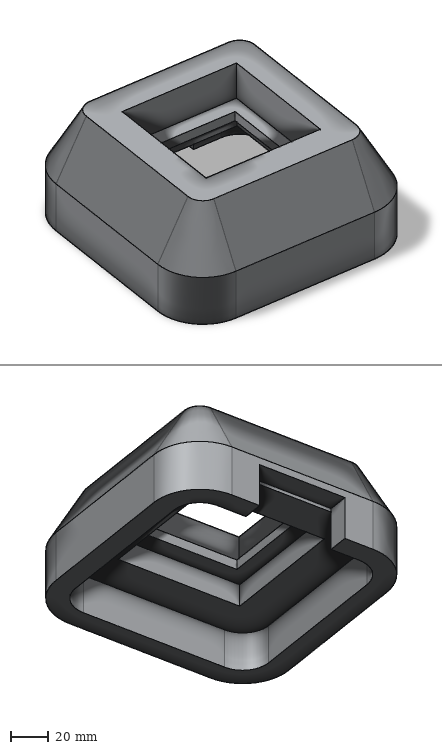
import cadquery as cq
import math

side = 152.4
height = 67.2
base_height = 31.0
corner_radius = 30.0
top_inset = 20.1

wall = 13.0
cavity_height = 24.1

pocket_side = 76.2
pocket_depth = 23.2
window_x = 57.0
window_y = 60.2
ledge_thickness = 6.1
lower_recess_side = 79.5

slot_width = 55.8
slot_height = 26.4


def rounded_square(width, radius, z):
    """Rounded square outline centred on the Z axis at height z."""
    sketch = cq.Sketch().rect(width, width).vertices().fillet(radius)
    return cq.Workplane("XY").workplane(offset=z).placeSketch(sketch)


def block(x_size, y_size, bottom, top):
    """Rectangular block centred on the Z axis, from height bottom to top."""
    return cq.Workplane("XY").workplane(offset=bottom).rect(x_size, y_size).extrude(top - bottom)


def outer_body():
    taper_height = height - base_height
    taper_angle = math.degrees(math.atan2(top_inset, taper_height))
    base = rounded_square(side, corner_radius, 0).extrude(base_height)
    upper = rounded_square(side, corner_radius, base_height).extrude(taper_height, taper=taper_angle)
    return base.union(upper)


def stepped_opening():
    ledge_top = height - pocket_depth
    ledge_bottom = ledge_top - ledge_thickness
    top_pocket = block(pocket_side, pocket_side, ledge_top, height)
    window = block(window_x, window_y, ledge_bottom, ledge_top)
    lower_recess = block(lower_recess_side, lower_recess_side, cavity_height, ledge_bottom)
    return top_pocket.union(window).union(lower_recess)


def wall_slot():
    wall_centre = -(side - wall) / 2
    return block(wall, slot_width, 0, slot_height).translate((wall_centre, 0, 0))


cavity = rounded_square(side - 2 * wall, corner_radius - wall, 0).extrude(cavity_height)

result = outer_body().cut(cavity).cut(stepped_opening()).cut(wall_slot())